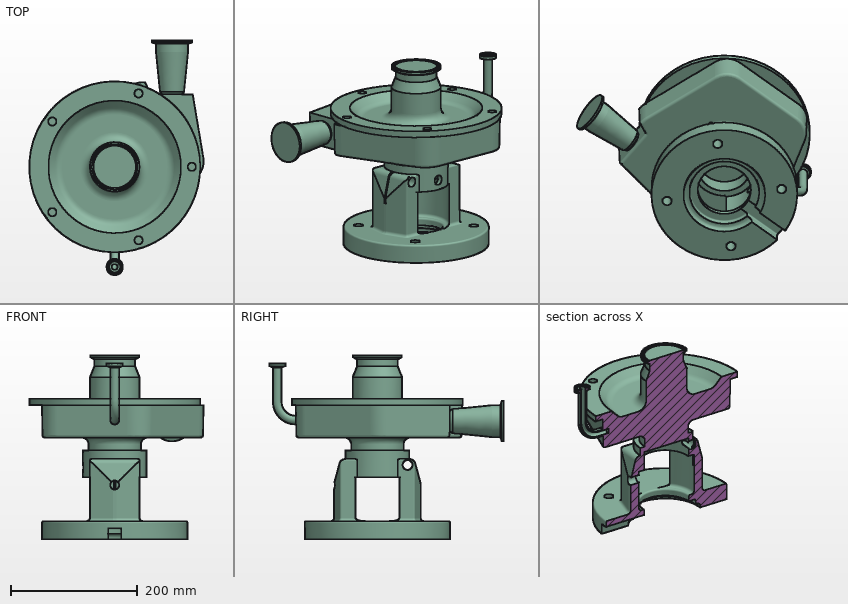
import cadquery as cq
import math

BASE_TOP = 29.0
HUB_BOTTOM = 98.0
COLUMN_TOP = 127.0
HUB_CAVITY_TOP = 130.0
HUB_TOP = 140.4
CASING_BOTTOM = 160.4
COVER_BOTTOM = 211.8
COVER_TOP = 222.0
INLET_TOP = 291.0

BASE_RADIUS = 115.0
BASE_BORE_RADIUS = 42.0
BASE_EDGE_ROUND = 3.0
INNER_RECESS_RADIUS = 55.0
INNER_RECESS_DEPTH = 17.5
INNER_RECESS_ROUND = 2.0
OUTER_RECESS_RADIUS = 64.4
OUTER_RECESS_DEPTH = 8.8
OUTER_RECESS_ROUND = 6.5
BASE_HOLE_DIAMETER = 14.5
BASE_HOLE_CIRCLE_RADIUS = 91.0
BASE_HOLE_COUNT = 4
DRAIN_SLOT_WIDTH = 20.4
DRAIN_SLOT_HEIGHT = 18.0
DRAIN_SLOT_ROUND = 2.0

COLUMN_HALF_WIDTH = 39.3
COLUMN_RIDGE_Y = 68.5
COLUMN_RIDGE_WIDTH = 5.0
COLUMN_FACE_ANGLE = 15.0
COLUMN_BORE_RADIUS = 52.3
COLUMN_CORNER_ROUND = 3.0
COLUMN_SHOULDER_ROUND = 10.0
COLUMN_FOOT_ROUND = 5.0
SELECTION_MARGIN = 0.5
SLOPE_START_Z = 88.0
RIDGE_HOLE_DIAMETER = 14.0
RIDGE_HOLE_Z = 85.8
CLAMP_SLIT_WIDTH = 2.4
CLAMP_HOLE_DIAMETER = 15.3
CLAMP_HOLE_Y = 47.6
CLAMP_HOLE_Z = 117.5

HUB_RADIUS = 50.5
HUB_CAVITY_RADIUS = 42.0
HUB_PORT_DIAMETER = 15.3
HUB_PORT_Z = 113.6
NECK_RADIUS = 41.6
NECK_ROUND = 10.0

CASING_APOTHEM = 115.0
CASING_CORNER_ROUND = 34.5
CASING_SIDES = 5
CASING_DRAFT = 1.0
CASING_BOTTOM_ROUND = 4.5
OUTLET_SIDE_ANGLE = 9.5
OUTLET_SIDE_OFFSET = 140.45
OUTLET_FACE_Y = 114.5
PEAK_Y = 133.7
PEAK_END_X = 48.0
CUTWATER_ANGLE = 25.0

COVER_RADIUS = 135.0
COVER_HOLE_DIAMETER = 13.0
COVER_HOLE_CIRCLE_RADIUS = 121.7
COVER_HOLE_COUNT = 5
DISH_RIM_RADIUS = 104.6
DISH_FLOOR_RADIUS = 83.0
DISH_DEPTH = 15.5
DISH_ROUND = 15.0
DISH_WALL_ANGLE = 45.0

INLET_RADIUS = 39.2
INLET_NECK_RADIUS = 32.4
INLET_CONE_BOTTOM = 256.3
INLET_CONE_TOP = 273.0
INLET_LIP_RADIUS = 38.75
INLET_LIP_THICKNESS = 3.5
INLET_LIP_TAPER = 2.8
INLET_LIP_ROOT_RADIUS = 33.5
INLET_GROOVE_INNER_RADIUS = 33.4
INLET_GROOVE_OUTER_RADIUS = 35.9
GROOVE_DEPTH = 1.0

OUTLET_X = 90.4
OUTLET_Z = 186.6
OUTLET_END_Y = 199.7
OUTLET_ROOT_RADIUS = 16.4
OUTLET_CONE_START_RADIUS = 19.2
OUTLET_CONE_START_Y = 118.7
OUTLET_NECK_RADIUS = 25.5
OUTLET_NECK_Y = 181.0
OUTLET_LIP_RADIUS = 32.0
OUTLET_LIP_THICKNESS = 3.5
OUTLET_LIP_TAPER = 2.3
OUTLET_EMBED = 2.0

VENT_Z = 188.3
VENT_Y = -158.0
VENT_BEND_RADIUS = 29.0
VENT_PIPE_RADIUS = 7.0
VENT_BORE_RADIUS = 4.5
VENT_TOP = 277.7
VENT_START_Y = -110.0
VENT_LIP_RADIUS = 13.0
VENT_LIP_THICKNESS = 4.8
VENT_LIP_TAPER = 1.7
VENT_GROOVE_INNER_RADIUS = 8.8
VENT_GROOVE_OUTER_RADIUS = 10.6


def disc(radius, bottom, top):
    """Cylinder on the Z axis between two heights."""
    return cq.Workplane("XY").workplane(offset=bottom).circle(radius).extrude(top - bottom)


def ring(inner, outer, bottom, top):
    """Annular cylinder on the Z axis between two heights."""
    return disc(outer, bottom, top).cut(disc(inner, bottom, top))


def revolve_about_z(profile):
    """Revolve a closed (radius, height) profile drawn in XZ about the Z axis."""
    return profile.close().revolve(360, (0, 0, 0), (0, 1, 0))


def line_crossing(angle_a, offset_a, angle_b, offset_b):
    """Crossing point of two plan lines, each given by its normal angle and distance from the axis."""
    a = math.radians(angle_a)
    b = math.radians(angle_b)
    spread = math.sin(b - a)
    x = (offset_a * math.sin(b) - offset_b * math.sin(a)) / spread
    y = (offset_b * math.cos(a) - offset_a * math.cos(b)) / spread
    return x, y


def make_base():
    """Bored disc with a stepped recess below, bolt holes and a drain slot towards -Y."""
    base = disc(BASE_RADIUS, 0, BASE_TOP).cut(disc(BASE_BORE_RADIUS, 0, BASE_TOP))
    base = base.faces(">Z").edges().fillet(BASE_EDGE_ROUND)
    inner_recess = disc(INNER_RECESS_RADIUS, 0, INNER_RECESS_DEPTH)
    base = base.cut(inner_recess.faces(">Z").edges().fillet(INNER_RECESS_ROUND))
    outer_recess = disc(OUTER_RECESS_RADIUS, 0, OUTER_RECESS_DEPTH)
    base = base.cut(outer_recess.faces(">Z").edges().fillet(OUTER_RECESS_ROUND))
    holes = (
        cq.Workplane("XY")
        .polarArray(BASE_HOLE_CIRCLE_RADIUS, 180 / BASE_HOLE_COUNT, 360, BASE_HOLE_COUNT)
        .circle(BASE_HOLE_DIAMETER / 2)
        .extrude(BASE_TOP)
    )
    slot = (
        cq.Workplane("XY")
        .box(DRAIN_SLOT_WIDTH, BASE_RADIUS, DRAIN_SLOT_HEIGHT, centered=(True, False, False))
        .translate((0, -BASE_RADIUS, 0))
        .edges("|Y and >Z")
        .fillet(DRAIN_SLOT_ROUND)
    )
    return base.cut(holes).cut(slot)


def make_column():
    """The +Y column: where a ridged plan, a sloped side and a round-topped front outline overlap."""
    slope = math.tan(math.radians(COLUMN_FACE_ANGLE))
    half_ridge = COLUMN_RIDGE_WIDTH / 2
    corner_y = COLUMN_RIDGE_Y - (COLUMN_HALF_WIDTH - half_ridge) * slope
    height = COLUMN_TOP - BASE_TOP
    plan = (
        cq.Workplane("XY")
        .workplane(offset=BASE_TOP)
        .moveTo(-COLUMN_HALF_WIDTH, 0)
        .lineTo(-COLUMN_HALF_WIDTH, corner_y)
        .lineTo(-half_ridge, COLUMN_RIDGE_Y)
        .lineTo(half_ridge, COLUMN_RIDGE_Y)
        .lineTo(COLUMN_HALF_WIDTH, corner_y)
        .lineTo(COLUMN_HALF_WIDTH, 0)
        .close()
        .extrude(height)
    )
    outer_corners = plan.edges("|Z").edges(">X or <X").edges(">Y")
    plan = outer_corners.fillet(COLUMN_CORNER_ROUND)
    slope_top_y = COLUMN_RIDGE_Y - (COLUMN_TOP - SLOPE_START_Z) * slope
    side = (
        cq.Workplane("YZ")
        .moveTo(0, BASE_TOP)
        .lineTo(COLUMN_RIDGE_Y, BASE_TOP)
        .lineTo(COLUMN_RIDGE_Y, SLOPE_START_Z)
        .lineTo(slope_top_y, COLUMN_TOP)
        .lineTo(0, COLUMN_TOP)
        .close()
        .extrude(COLUMN_HALF_WIDTH, both=True)
        .edges("|X and >Z")
        .edges(">Y")
        .fillet(COLUMN_SHOULDER_ROUND)
    )
    front = (
        cq.Workplane("XY")
        .workplane(offset=BASE_TOP)
        .rect(2 * COLUMN_HALF_WIDTH, 2 * COLUMN_RIDGE_Y)
        .extrude(height)
        .edges("|Y and >Z")
        .fillet(COLUMN_CORNER_ROUND)
    )
    column = plan.intersect(side).intersect(front)
    column = column.cut(disc(COLUMN_BORE_RADIUS, BASE_TOP, HUB_BOTTOM))
    return column.cut(disc(HUB_RADIUS, HUB_BOTTOM, COLUMN_TOP))


def make_frame():
    """Base plate with both columns, rounded where they meet the plate."""
    column = make_column()
    columns = column.union(column.mirror("XZ"))
    reach_x = COLUMN_HALF_WIDTH + SELECTION_MARGIN
    reach_y = COLUMN_RIDGE_Y + SELECTION_MARGIN
    foot_outlines = cq.selectors.BoxSelector(
        (-reach_x, -reach_y, BASE_TOP - SELECTION_MARGIN),
        (reach_x, reach_y, BASE_TOP + SELECTION_MARGIN),
        boundingbox=True,
    )
    return make_base().union(columns).edges(foot_outlines).fillet(COLUMN_FOOT_ROUND)


def make_hub():
    """Hub, open below, and the neck that flares into the casing underside."""
    hub = disc(HUB_RADIUS, HUB_BOTTOM, HUB_TOP).cut(disc(HUB_CAVITY_RADIUS, HUB_BOTTOM, HUB_CAVITY_TOP))
    port = (
        cq.Workplane("YZ")
        .center(0, HUB_PORT_Z)
        .circle(HUB_PORT_DIAMETER / 2)
        .extrude(-HUB_RADIUS)
    )
    flare_radius = NECK_RADIUS + NECK_ROUND
    neck = revolve_about_z(
        cq.Workplane("XZ")
        .moveTo(0, HUB_TOP)
        .lineTo(NECK_RADIUS, HUB_TOP)
        .lineTo(NECK_RADIUS, CASING_BOTTOM - NECK_ROUND)
        .radiusArc((flare_radius, CASING_BOTTOM), NECK_ROUND)
        .lineTo(0, CASING_BOTTOM)
    )
    return hub.cut(port).union(neck)


def make_casing_body():
    """Drafted pentagon with rounded corners; one side swings out to form the outlet block."""
    plain_step = 360 / CASING_SIDES
    side_angles = [180 + plain_step * step for step in (-1, 0, 1, 2)]
    plain_sides = [(angle, CASING_APOTHEM) for angle in side_angles]
    outlet_side = (OUTLET_SIDE_ANGLE, OUTLET_SIDE_OFFSET)
    outlet_face = (90, OUTLET_FACE_Y)
    cutwater = math.radians(CUTWATER_ANGLE)
    cutwater_offset = PEAK_END_X * math.cos(cutwater) + PEAK_Y * math.sin(cutwater)
    cutwater_side = (CUTWATER_ANGLE, cutwater_offset)
    peak = (90, PEAK_Y)
    sides = [outlet_side, outlet_face, cutwater_side, peak] + plain_sides
    corners = [line_crossing(*a, *b) for a, b in zip(sides, sides[1:] + sides[:1])]
    rounded_corners = corners[3:]
    middle_z = (CASING_BOTTOM + COVER_BOTTOM) / 2
    body = (
        cq.Workplane("XY")
        .workplane(offset=COVER_BOTTOM)
        .polyline(corners)
        .close()
        .extrude(CASING_BOTTOM - COVER_BOTTOM, taper=CASING_DRAFT)
    )
    for x, y in rounded_corners:
        corner_edge = cq.selectors.NearestToPointSelector((x, y, middle_z))
        body = body.edges(corner_edge).fillet(CASING_CORNER_ROUND)
    return body.faces("<Z").edges().fillet(CASING_BOTTOM_ROUND)


def make_cover():
    """Round flange with its bolt holes."""
    holes = (
        cq.Workplane("XY")
        .workplane(offset=COVER_BOTTOM)
        .polarArray(COVER_HOLE_CIRCLE_RADIUS, 0, 360, COVER_HOLE_COUNT)
        .circle(COVER_HOLE_DIAMETER / 2)
        .extrude(COVER_TOP - COVER_BOTTOM)
    )
    return disc(COVER_RADIUS, COVER_BOTTOM, COVER_TOP).cut(holes)


def make_dish():
    """Annular dish to be cut from the cover: sloped wall, rounded floor and a round up to the inlet."""
    wall = math.radians(DISH_WALL_ANGLE)
    floor = COVER_TOP - DISH_DEPTH
    wall_foot = (
        DISH_FLOOR_RADIUS + DISH_ROUND * math.sin(wall),
        floor + DISH_ROUND * (1 - math.cos(wall)),
    )
    return revolve_about_z(
        cq.Workplane("XZ")
        .moveTo(INLET_RADIUS, COVER_TOP)
        .lineTo(INLET_RADIUS, floor + DISH_ROUND)
        .radiusArc((INLET_RADIUS + DISH_ROUND, floor), -DISH_ROUND)
        .lineTo(DISH_FLOOR_RADIUS, floor)
        .radiusArc(wall_foot, -DISH_ROUND)
        .lineTo(DISH_RIM_RADIUS, COVER_TOP)
    )


def make_inlet():
    """Stub on the pump axis that narrows to a neck and ends in a grooved clamp lip."""
    lip_bottom = INLET_TOP - INLET_LIP_THICKNESS
    taper_bottom = lip_bottom - INLET_LIP_TAPER
    inlet = revolve_about_z(
        cq.Workplane("XZ")
        .moveTo(0, COVER_BOTTOM)
        .lineTo(INLET_RADIUS, COVER_BOTTOM)
        .lineTo(INLET_RADIUS, INLET_CONE_BOTTOM)
        .lineTo(INLET_NECK_RADIUS, INLET_CONE_TOP)
        .lineTo(INLET_NECK_RADIUS, taper_bottom)
        .lineTo(INLET_LIP_ROOT_RADIUS, taper_bottom)
        .lineTo(INLET_LIP_RADIUS, lip_bottom)
        .lineTo(INLET_LIP_RADIUS, INLET_TOP)
        .lineTo(0, INLET_TOP)
    )
    groove_bottom = INLET_TOP - GROOVE_DEPTH
    return inlet.cut(ring(INLET_GROOVE_INNER_RADIUS, INLET_GROOVE_OUTER_RADIUS, groove_bottom, INLET_TOP))


def make_outlet():
    """Widening nozzle along +Y, ending in a clamp lip."""
    lip_start = OUTLET_END_Y - OUTLET_LIP_THICKNESS
    return (
        cq.Workplane("XY")
        .workplane(offset=OUTLET_Z)
        .moveTo(OUTLET_X, OUTLET_FACE_Y - OUTLET_EMBED)
        .lineTo(OUTLET_X + OUTLET_ROOT_RADIUS, OUTLET_FACE_Y - OUTLET_EMBED)
        .lineTo(OUTLET_X + OUTLET_ROOT_RADIUS, OUTLET_FACE_Y)
        .lineTo(OUTLET_X + OUTLET_CONE_START_RADIUS, OUTLET_CONE_START_Y)
        .lineTo(OUTLET_X + OUTLET_NECK_RADIUS, OUTLET_NECK_Y)
        .lineTo(OUTLET_X + OUTLET_NECK_RADIUS, lip_start - OUTLET_LIP_TAPER)
        .lineTo(OUTLET_X + OUTLET_LIP_RADIUS, lip_start)
        .lineTo(OUTLET_X + OUTLET_LIP_RADIUS, OUTLET_END_Y)
        .lineTo(OUTLET_X, OUTLET_END_Y)
        .close()
        .revolve(360, (OUTLET_X, 0, 0), (OUTLET_X, 1, 0))
    )


def sweep_vent(radius):
    """Round bar that leaves the casing along -Y and bends up to the vent end."""
    bend_y = VENT_Y + VENT_BEND_RADIUS
    path = (
        cq.Workplane("YZ")
        .moveTo(VENT_START_Y, VENT_Z)
        .lineTo(bend_y, VENT_Z)
        .radiusArc((VENT_Y, VENT_Z + VENT_BEND_RADIUS), VENT_BEND_RADIUS)
        .lineTo(VENT_Y, VENT_TOP)
    )
    return (
        cq.Workplane("XZ", origin=(0, VENT_START_Y, VENT_Z))
        .circle(radius)
        .sweep(path)
    )


def make_vent_lip():
    """Grooved clamp lip at the upper end of the vent pipe."""
    lip_bottom = VENT_TOP - VENT_LIP_THICKNESS
    taper_bottom = lip_bottom - VENT_LIP_TAPER
    lip = revolve_about_z(
        cq.Workplane("XZ")
        .moveTo(0, taper_bottom)
        .lineTo(VENT_PIPE_RADIUS, taper_bottom)
        .lineTo(VENT_GROOVE_OUTER_RADIUS, lip_bottom)
        .lineTo(VENT_LIP_RADIUS, lip_bottom)
        .lineTo(VENT_LIP_RADIUS, VENT_TOP)
        .lineTo(0, VENT_TOP)
    )
    groove_bottom = VENT_TOP - GROOVE_DEPTH
    groove = ring(VENT_GROOVE_INNER_RADIUS, VENT_GROOVE_OUTER_RADIUS, groove_bottom, VENT_TOP)
    return lip.cut(groove).translate((0, VENT_Y, 0))


def make_column_cuts():
    """Hole through the -Y ridge, clamp screw hole and clamp slit in the +Y column."""
    ridge_hole = (
        cq.Workplane("XZ")
        .center(0, RIDGE_HOLE_Z)
        .circle(RIDGE_HOLE_DIAMETER / 2)
        .extrude(BASE_RADIUS)
    )
    clamp_hole = (
        cq.Workplane("YZ")
        .center(CLAMP_HOLE_Y, CLAMP_HOLE_Z)
        .circle(CLAMP_HOLE_DIAMETER / 2)
        .extrude(HUB_RADIUS, both=True)
    )
    slit_bottom = RIDGE_HOLE_Z - RIDGE_HOLE_DIAMETER / 2
    slit = (
        cq.Workplane("XY")
        .box(CLAMP_SLIT_WIDTH, BASE_RADIUS, COLUMN_TOP - slit_bottom, centered=(True, False, False))
        .translate((0, 0, slit_bottom))
        .cut(disc(HUB_RADIUS, HUB_BOTTOM, COLUMN_TOP))
    )
    return ridge_hole.union(clamp_hole).union(slit)


pump = make_frame().union(make_hub()).cut(make_column_cuts())
pump = pump.union(make_casing_body()).union(make_cover()).union(make_inlet()).cut(make_dish())
pump = pump.union(make_outlet()).union(sweep_vent(VENT_PIPE_RADIUS)).union(make_vent_lip())
result = pump.cut(sweep_vent(VENT_BORE_RADIUS))